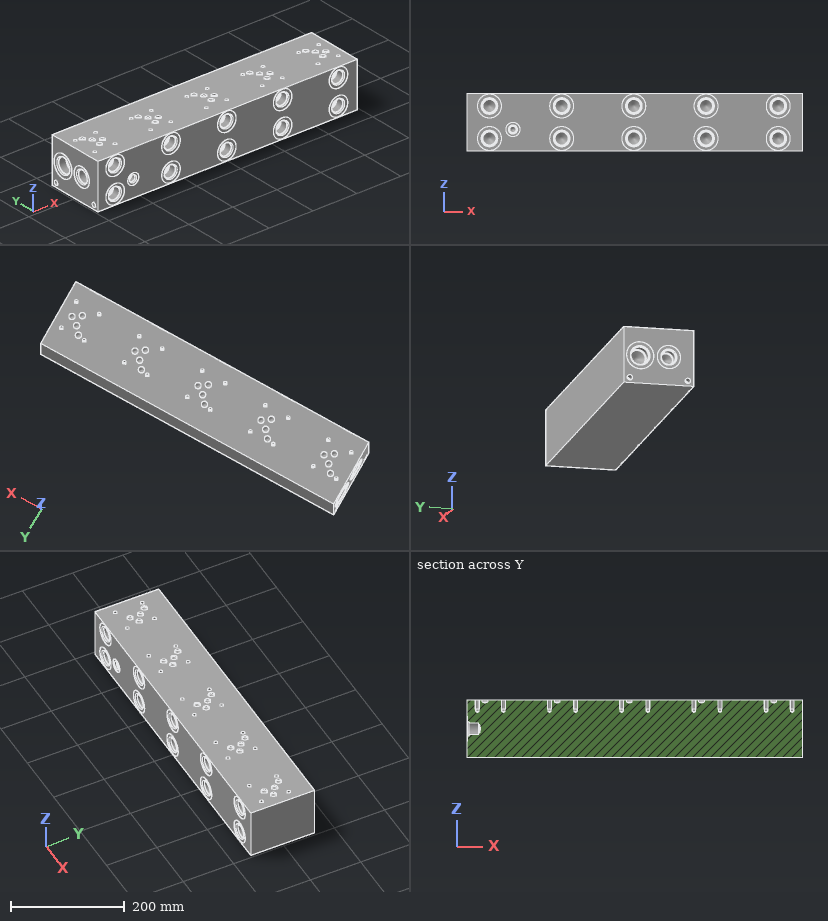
import cadquery as cq
import math

LENGTH = 590.55
WIDTH = 127.0
HEIGHT = 101.6

DRILL_POINT_ANGLE = 118.0

STATION_COUNT = 5
STATION_PITCH = 127.0
STATION_FIRST_X = (LENGTH - (STATION_COUNT - 1) * STATION_PITCH) / 2
STATION_Y = 57.9

BOLT_SPACING_X = 46.0
BOLT_SPACING_Y = 54.0
VALVE_HOLE_DIAMETER = 11.11
VALVE_HOLE_DEPTH = 3.2
TANK_HOLE_OFFSET = (-9.5, 23.8)
REAR_WORK_HOLE_OFFSET = (1.6, 10.3)
FRONT_WORK_HOLE_OFFSET = (1.6, -10.3)
PRESSURE_HOLE_OFFSET = (16.7, 0.0)

BOLT_TAP = (6.35, 5.11, 16.0, 20.0)
MOUNT_TAP = (9.53, 7.92, 19.0, 24.0)
MOUNT_INSET_Y = 11.1
MOUNT_Z = 9.5

WORK_PORT = (42.04, 29.2, 27.43, 24.92, 23.01, 20.0)
TANK_PORT = (49.12, 35.5, 33.76, 31.27, 28.57, 20.0)
GAUGE_PORT = (24.92, 15.7, 14.29, 12.9, 11.11, 12.7)
SPOTFACE_DEPTH = 0.75
SEAL_CONE_DEPTH = 3.3
BORE_RUNOUT = 2.0

WORK_PORT_X_SHIFT = -1.6
WORK_PORT_INSET_Z = 22.225
GAUGE_X = 80.95
GAUGE_Z = 38.1

END_PORT_Z = HEIGHT / 2
PRESSURE_PORT_Y = 45.25
TANK_PORT_Y = 97.15

TOP = cq.Plane(origin=(0, 0, HEIGHT), xDir=(1, 0, 0), normal=(0, 0, 1))
FRONT = cq.Plane(origin=(0, 0, 0), xDir=(1, 0, 0), normal=(0, -1, 0))
LEFT = cq.Plane(origin=(0, WIDTH, 0), xDir=(0, -1, 0), normal=(-1, 0, 0))


def drill_tip(diameter):
    """Length of the conical end of a drilled hole."""
    return diameter / 2 / math.tan(math.radians(DRILL_POINT_ANGLE / 2))


def hole_cutter(face, position, steps):
    """Round cutter sunk into a face from (diameter, depth) steps, ending in a drill tip."""
    last_diameter, last_depth = steps[-1]
    outline = [(0, 0)]
    outline += [(diameter / 2, -depth) for diameter, depth in steps]
    outline.append((0, -last_depth - drill_tip(last_diameter)))
    cutter = cq.Workplane("XZ").polyline(outline).close().revolve(360, (0, 0), (0, 1))
    seat = cq.Plane(origin=face.toWorldCoords(position), xDir=face.xDir, normal=face.zDir)
    return cutter.val().moved(cq.Location(seat))


def drilled_hole(face, position, diameter, depth):
    return hole_cutter(face, position, [(diameter, 0), (diameter, depth)])


def tapped_hole(face, position, tap):
    major, drill, thread_depth, drill_depth = tap
    steps = [(major, 0), (major, thread_depth), (drill, thread_depth), (drill, drill_depth)]
    return hole_cutter(face, position, steps)


def threaded_port(face, position, port):
    """Spotface, tapered seal seat, thread and a narrower bore behind the thread."""
    spotface, cone_mouth, cone_end, minor, bore, thread_depth = port
    cone_end_depth = SPOTFACE_DEPTH + SEAL_CONE_DEPTH
    steps = [
        (spotface, 0),
        (spotface, SPOTFACE_DEPTH),
        (cone_mouth, SPOTFACE_DEPTH),
        (cone_end, cone_end_depth),
        (minor, cone_end_depth),
        (minor, thread_depth),
        (bore, thread_depth),
        (bore, thread_depth + BORE_RUNOUT),
    ]
    return hole_cutter(face, position, steps)


def valve_station(x):
    """Bolt holes and four passages of one valve interface."""
    holes = []
    for side_x in (-1, 1):
        for side_y in (-1, 1):
            bolt = (x + side_x * BOLT_SPACING_X / 2, STATION_Y + side_y * BOLT_SPACING_Y / 2)
            holes.append(tapped_hole(TOP, bolt, BOLT_TAP))

    passage_offsets = (
        TANK_HOLE_OFFSET,
        REAR_WORK_HOLE_OFFSET,
        FRONT_WORK_HOLE_OFFSET,
        PRESSURE_HOLE_OFFSET,
    )
    for offset_x, offset_y in passage_offsets:
        passage = (x + offset_x, STATION_Y + offset_y)
        holes.append(drilled_hole(TOP, passage, VALVE_HOLE_DIAMETER, VALVE_HOLE_DEPTH))
    return holes


def work_ports(x):
    """Lower and upper front ports of one station."""
    port_heights = (WORK_PORT_INSET_Z, HEIGHT - WORK_PORT_INSET_Z)
    return [threaded_port(FRONT, (x + WORK_PORT_X_SHIFT, z), WORK_PORT) for z in port_heights]


def left_end():
    """Pressure and tank ports and two mounting holes; local x runs from the rear to the front."""
    holes = [
        threaded_port(LEFT, (WIDTH - PRESSURE_PORT_Y, END_PORT_Z), WORK_PORT),
        threaded_port(LEFT, (WIDTH - TANK_PORT_Y, END_PORT_Z), TANK_PORT),
    ]
    for inset in (MOUNT_INSET_Y, WIDTH - MOUNT_INSET_Y):
        holes.append(tapped_hole(LEFT, (inset, MOUNT_Z), MOUNT_TAP))
    return holes


cutters = left_end()
cutters.append(threaded_port(FRONT, (GAUGE_X, GAUGE_Z), GAUGE_PORT))
for station in range(STATION_COUNT):
    station_x = STATION_FIRST_X + station * STATION_PITCH
    cutters += valve_station(station_x)
    cutters += work_ports(station_x)

block = cq.Workplane("XY").box(LENGTH, WIDTH, HEIGHT, centered=False)
result = cq.Workplane("XY").newObject([block.val().cut(*cutters).Solids()[0]])